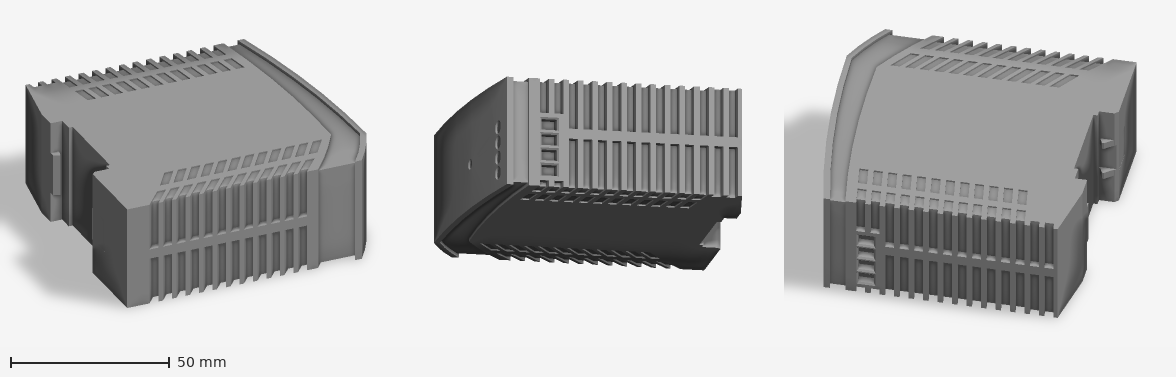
import cadquery as cq

WIDTH = 90.2
DEPTH = 89.8
THICKNESS = 35.0
MID_Z = THICKNESS / 2

CAP_OUTER = [(0, 81.2), (37.2, 87.7), (74.1, DEPTH), (82.35, 86.0), (WIDTH, 81.0)]
CAP_INNER = [(0, 79.0), (36.7, 85.5), (73.4, 88.0), (82.1, 83.9), (WIDTH, 78.65)]
BODY_FRONT = [(0, 74.1), (35.2, 78.6), (70.4, 79.4), (80.5, 73.15), (WIDTH, 65.85)]
NECK_INSET = 1.1
NECK_LEFT = 0.9
NECK_RIGHT = 89.0

LEFT_CORNER_Y = 5.8
LEFT_FOOT_X = 20.1
LEFT_FOOT_Y = 2.2
RAIL_LEFT_X = 27.1
RAIL_RIGHT_X = 62.7
RAIL_SEAT_Y = 6.1
RECESS_LEFT_X = 32.1
RECESS_RIGHT_X = 60.5
RECESS_Y = 7.5
FOOT_CHAMFER = 1.2

CLIP_LOW_Z = 10.4
CLIP_HIGH_Z = 24.4
CLIP_GAP_LOW_Z = 12.7
CLIP_GAP_HIGH_Z = 22.2
LATCH_LOW_Z = 11.8
LATCH_HIGH_Z = 23.0
LATCH_END_X = 72.7
LATCH_SETBACK = 0.045
LATCH_FACE_X = 63.2
LEFT_CLIP_TIP = (29.7, 4.4)
LEFT_CLIP_TOP_Y = 5.05
LEFT_CLIP_BOTTOM_X = 28.9
HOOK_TIP_X = 60.4
HOOK_TIP_Y = (4.1, 4.7)
HOOK_TOP_Y = 5.8

ROWS = 12
LEFT_GROOVE_ROWS = 14
LEFT_ROW_SPAN = 60.6
PITCH = LEFT_ROW_SPAN / (LEFT_GROOVE_ROWS - 1)
LEFT_SLOT_HEIGHT = 2.9
RIGHT_SLOT_HEIGHT = 3.1
POCKET_DEPTH = 0.5
LEFT_SLOPE = 0.16
LEFT_TOP_Y = 70.6
LEFT_OUTER_END_X = 7.3
LEFT_INNER_X = (10.2, 17.6)
RIGHT_INNER_X = (72.2, 79.65)
RIGHT_INNER_TOP_Y = 75.4
RIGHT_INNER_SLOPE = 0.66
RIGHT_OUTER_X = 82.8
RIGHT_OUTER_TOP_Y = 68.1
RIGHT_OUTER_SLOPE = 0.82

GROOVE_DEPTH = 2.5
WEB_HALF = 1.6
SHORT_GROOVE_ROWS = 2
SHORT_UPPER_Z = 23.8
SHORT_LOWER_Z = 1.9

WINDOW_COUNT = 4
WINDOW_PITCH = 5.0
WINDOW_FIRST_Z = 5.3
WINDOW_HEIGHT = 4.5
WINDOW_LOW_Y = 64.4
WINDOW_HIGH_Y = 70.5
WINDOW_LEAD_IN = 0.5
WINDOW_DEPTH = 3.25

INDICATOR_X = 6.8
INDICATOR_Y = 82.6
INDICATOR_SLOPE = 0.21
INDICATOR_DIAMETER = 4.3
SMALL_INDICATOR_X = 30.7
SMALL_INDICATOR_Y = 86.9
SMALL_INDICATOR_Z = 14.25
SMALL_INDICATOR_SLOPE = 0.14
SMALL_INDICATOR_DIAMETER = 3.4
INDICATOR_DEPTH = 0.7


def box(x_range, y_range, z_range):
    """Box spanning the given ranges."""
    size = [high - low for low, high in (x_range, y_range, z_range)]
    corner = (x_range[0], y_range[0], z_range[0])
    return cq.Workplane("XY").box(*size, centered=False).translate(corner)


def prism(points, z_low, z_high):
    """Straight-sided outline extruded between two heights."""
    return cq.Workplane("XY", origin=(0, 0, z_low)).polyline(points).close().extrude(z_high - z_low)


def front_arcs(sketch, contour):
    """Add the two arcs of a front contour, from its left end to its right end."""
    return sketch.threePointArc(*contour[1:3]).threePointArc(*contour[3:5])


def below_contour(contour, z_low, z_high):
    """Full-width block whose +Y side follows a front contour."""
    sketch = cq.Workplane("XY", origin=(0, 0, z_low)).moveTo(0, RECESS_Y).lineTo(*contour[0])
    sketch = front_arcs(sketch, contour).lineTo(WIDTH, RECESS_Y)
    return sketch.close().extrude(z_high - z_low)


def make_body():
    rail_side = [
        (WIDTH, 0),
        (RAIL_RIGHT_X + FOOT_CHAMFER, 0),
        (RAIL_RIGHT_X, FOOT_CHAMFER),
        (RAIL_RIGHT_X, RAIL_SEAT_Y),
        (RECESS_RIGHT_X, RAIL_SEAT_Y),
        (RECESS_RIGHT_X, RECESS_Y),
        (RECESS_LEFT_X, RECESS_Y),
        (RECESS_LEFT_X, RAIL_SEAT_Y),
        (RAIL_LEFT_X, RAIL_SEAT_Y),
        (RAIL_LEFT_X, LEFT_FOOT_Y),
        (LEFT_FOOT_X, LEFT_FOOT_Y),
        (0, LEFT_CORNER_Y),
    ]
    sketch = front_arcs(cq.Workplane("XY").moveTo(*BODY_FRONT[0]), BODY_FRONT)
    for point in rail_side:
        sketch = sketch.lineTo(*point)
    return sketch.close().extrude(THICKNESS)


def make_cap():
    return below_contour(CAP_OUTER, 0, THICKNESS).cut(below_contour(CAP_INNER, 0, THICKNESS))


def make_neck():
    """Inset block joining the body to the cap."""
    neck_z = (NECK_INSET, THICKNESS - NECK_INSET)
    neck_limits = box((NECK_LEFT, NECK_RIGHT), (RECESS_Y, DEPTH), neck_z)
    middle_contour = [(x, (outer + inner) / 2) for (x, outer), (_, inner) in zip(CAP_OUTER, CAP_INNER)]
    return below_contour(middle_contour, *neck_z).intersect(neck_limits)


def make_clips():
    """Fixed left clip and the two hooks of the right latch."""
    left = [
        (RAIL_LEFT_X, LEFT_CLIP_TOP_Y),
        LEFT_CLIP_TIP,
        (LEFT_CLIP_BOTTOM_X, LEFT_FOOT_Y),
        (RAIL_LEFT_X, LEFT_FOOT_Y),
    ]
    hook_root_x = RAIL_RIGHT_X + FOOT_CHAMFER
    hook = [
        (hook_root_x, 0),
        (HOOK_TIP_X, HOOK_TIP_Y[0]),
        (HOOK_TIP_X, HOOK_TIP_Y[1]),
        (RAIL_RIGHT_X, HOOK_TOP_Y),
        (hook_root_x, HOOK_TOP_Y),
    ]
    clips = prism(left, CLIP_LOW_Z, CLIP_HIGH_Z)
    clips = clips.union(prism(hook, CLIP_LOW_Z, CLIP_GAP_LOW_Z))
    return clips.union(prism(hook, CLIP_GAP_HIGH_Z, CLIP_HIGH_Z))


def cut_latch(part):
    """Set back the latch plate and its face between the hooks."""
    plate_x = (RAIL_RIGHT_X + FOOT_CHAMFER, LATCH_END_X)
    part = part.cut(box(plate_x, (0, LATCH_SETBACK), (LATCH_LOW_Z, LATCH_HIGH_Z)))
    return part.cut(box((RAIL_RIGHT_X, LATCH_FACE_X), (0, RAIL_SEAT_Y), (CLIP_GAP_LOW_Z, CLIP_GAP_HIGH_Z)))


def slots(x_range, top_y, slope, height, rows, z_low, z_high):
    """Column of slanted slots; top_y is the upper edge of the first slot at its left end."""
    x_left, x_right = x_range
    rise = slope * (x_right - x_left)
    column = cq.Workplane("XY", origin=(0, 0, z_low))
    for row in rows:
        y = top_y - PITCH * row
        corners = [(x_left, y), (x_right, y + rise), (x_right, y + rise - height), (x_left, y - height)]
        column = column.polyline(corners).close()
    return column.extrude(z_high - z_low)


def cut_pockets(part):
    """Shallow slots in the top and bottom faces."""
    inner_top_y = LEFT_TOP_Y + LEFT_SLOPE * LEFT_INNER_X[0]
    columns = [
        ((0, LEFT_OUTER_END_X), LEFT_TOP_Y, LEFT_SLOPE, LEFT_SLOT_HEIGHT),
        (LEFT_INNER_X, inner_top_y, LEFT_SLOPE, LEFT_SLOT_HEIGHT),
        (RIGHT_INNER_X, RIGHT_INNER_TOP_Y, -RIGHT_INNER_SLOPE, RIGHT_SLOT_HEIGHT),
        ((RIGHT_OUTER_X, WIDTH), RIGHT_OUTER_TOP_Y, -RIGHT_OUTER_SLOPE, RIGHT_SLOT_HEIGHT),
    ]
    for column in columns:
        part = part.cut(slots(*column, range(ROWS), THICKNESS - POCKET_DEPTH, THICKNESS))
        part = part.cut(slots(*column, range(ROWS), 0, POCKET_DEPTH))
    return part


def cut_grooves(part):
    """Deep grooves in the left and right walls, shortened beside the windows."""
    left = ((0, GROOVE_DEPTH), LEFT_TOP_Y, LEFT_SLOPE, LEFT_SLOT_HEIGHT)
    right_x = WIDTH - GROOVE_DEPTH
    right_top_y = RIGHT_OUTER_TOP_Y - RIGHT_OUTER_SLOPE * (right_x - RIGHT_OUTER_X)
    right = ((right_x, WIDTH), right_top_y, -RIGHT_OUTER_SLOPE, RIGHT_SLOT_HEIGHT)
    short_rows = range(SHORT_GROOVE_ROWS)
    long_rows = range(SHORT_GROOVE_ROWS, LEFT_GROOVE_ROWS)

    part = part.cut(slots(*left, short_rows, SHORT_UPPER_Z, THICKNESS))
    part = part.cut(slots(*left, short_rows, 0, SHORT_LOWER_Z))
    for wall, rows in ((left, long_rows), (right, range(ROWS))):
        part = part.cut(slots(*wall, rows, MID_Z + WEB_HALF, THICKNESS))
        part = part.cut(slots(*wall, rows, 0, MID_Z - WEB_HALF))
    return part


def cut_window(part, z):
    """Window centred at height z: tapered lead-in, then walls slanted like the grooves."""
    middle_y = (WINDOW_LOW_Y + WINDOW_HIGH_Y) / 2
    lead_in = cq.Workplane("YZ", origin=(0, middle_y, z)).rect(WINDOW_HIGH_Y - WINDOW_LOW_Y, WINDOW_HEIGHT)
    lead_in = lead_in.extrude(WINDOW_LEAD_IN, taper=45)

    low_y = WINDOW_LOW_Y + WINDOW_LEAD_IN
    high_y = WINDOW_HIGH_Y - WINDOW_LEAD_IN
    rise = LEFT_SLOPE * (WINDOW_DEPTH - WINDOW_LEAD_IN)
    outline = [
        (WINDOW_LEAD_IN, low_y),
        (WINDOW_DEPTH, low_y + rise),
        (WINDOW_DEPTH, high_y + rise),
        (WINDOW_LEAD_IN, high_y),
    ]
    half_height = WINDOW_HEIGHT / 2 - WINDOW_LEAD_IN
    opening = prism(outline, z - half_height, z + half_height)
    return part.cut(lead_in.union(opening))


def cut_indicator(part, centre, slope, diameter):
    """Round recess centred on the cap surface, whose local slope is given."""
    plane = cq.Plane(origin=centre, xDir=(0, 0, 1), normal=(-slope, 1, 0))
    return part.cut(cq.Workplane(plane).circle(diameter / 2).extrude(INDICATOR_DEPTH, both=True))


result = make_body().union(make_neck()).union(make_cap())
result = cut_latch(result).union(make_clips())
result = cut_pockets(result)
result = cut_grooves(result)
for index in range(WINDOW_COUNT):
    window_z = WINDOW_FIRST_Z + index * WINDOW_PITCH
    result = cut_window(result, window_z)
    indicator_centre = (INDICATOR_X, INDICATOR_Y, window_z)
    result = cut_indicator(result, indicator_centre, INDICATOR_SLOPE, INDICATOR_DIAMETER)
small_centre = (SMALL_INDICATOR_X, SMALL_INDICATOR_Y, SMALL_INDICATOR_Z)
result = cut_indicator(result, small_centre, SMALL_INDICATOR_SLOPE, SMALL_INDICATOR_DIAMETER)